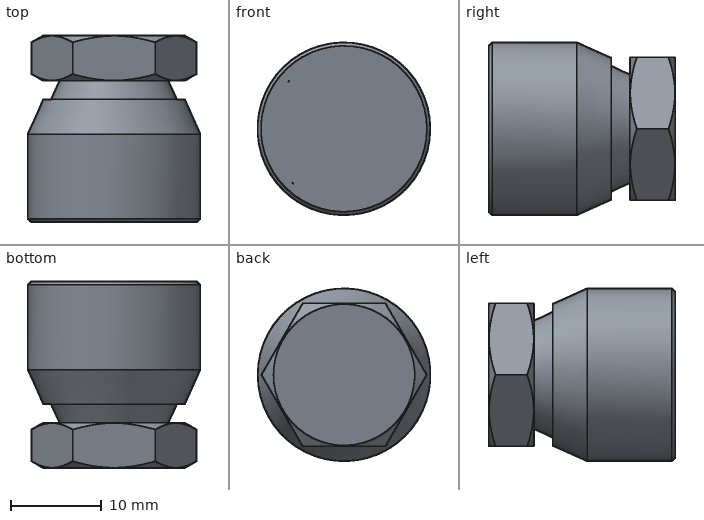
import cadquery as cq
import math

total_length = 20.57
body_radius = 9.52
body_length = 9.7
rim_chamfer = 0.4
shoulder_position = 13.51
shoulder_radius = 7.82
neck_front_radius = 6.95
neck_rear_radius = 6.0

hex_across_flats = 15.75
hex_length = 5.02
hex_chamfer_radius = 7.78
hex_chamfer_angle = 30.0
corner_clearance = 0.2

hex_corner_radius = hex_across_flats / math.sqrt(3)
hex_start = total_length - hex_length
front = -total_length / 2


def revolve_profile(points):
    """Turn (radius, distance from the front face) points about the Y axis."""
    profile = cq.Workplane("XY").polyline([(r, front + d) for r, d in points]).close()
    return profile.revolve(360, (0, 0, 0), (0, 1, 0))


def make_body():
    """Chamfered cylinder, tapered shoulder and narrower tapered neck."""
    return revolve_profile([
        (0, 0),
        (body_radius - rim_chamfer, 0),
        (body_radius, rim_chamfer),
        (body_radius, body_length),
        (shoulder_radius, shoulder_position),
        (neck_front_radius, shoulder_position),
        (neck_rear_radius, hex_start),
        (0, hex_start),
    ])


def make_hex():
    """Hexagon with two flats facing +Z and -Z, corners chamfered at both ends."""
    prism = (
        cq.Workplane("XZ", origin=(0, front + hex_start, 0))
        .polygon(6, 2 * hex_corner_radius)
        .extrude(-hex_length)
    )
    outer_radius = hex_corner_radius + corner_clearance
    chamfer_depth = (outer_radius - hex_chamfer_radius) * math.tan(math.radians(hex_chamfer_angle))
    envelope = revolve_profile([
        (0, hex_start),
        (hex_chamfer_radius, hex_start),
        (outer_radius, hex_start + chamfer_depth),
        (outer_radius, total_length - chamfer_depth),
        (hex_chamfer_radius, total_length),
        (0, total_length),
    ])
    return prism.intersect(envelope)


result = make_body().union(make_hex())